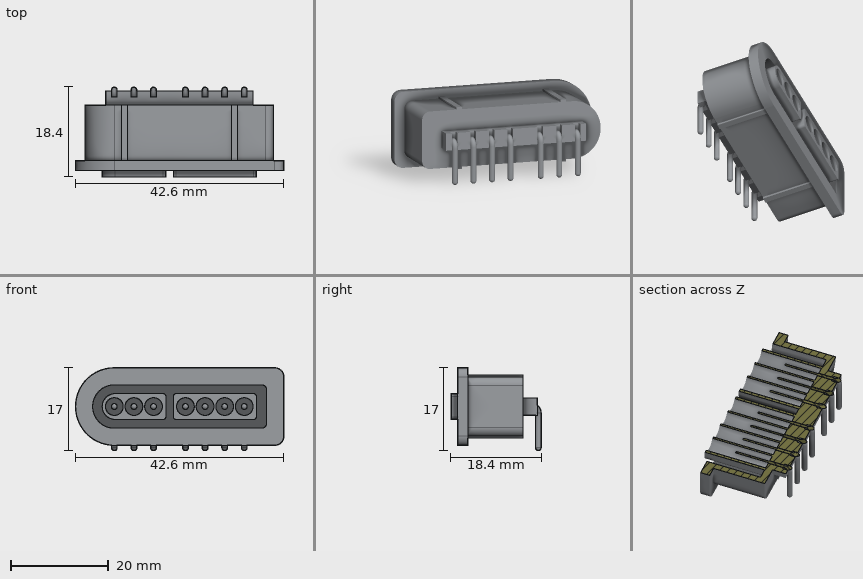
import cadquery as cq


overall_height = 16.95
flange_length = 42.6
flange_height = 15.9
flange_radius = flange_height / 2

pin_diameter = 1.2
pin_radius = pin_diameter / 2
pin_pitch = 4.0
group_gap = 6.5
first_group = [i * pin_pitch for i in range(3)]
second_group = [first_group[-1] + group_gap + i * pin_pitch for i in range(4)]
pin_places = first_group + second_group
bend_radius = 1.28
quarter_turn = 90
pin_bottom = flange_radius - overall_height
contact_length = 7.65

flange_thickness = 2.1
shell_depth = 11.3
block_depth = 2.95
tower_reach = 1.3
tail_overhang = 0.75
shell_back = flange_thickness + shell_depth
block_back = shell_back + block_depth
tail_y = block_back + tail_overhang - pin_radius

flange_right = flange_length - flange_radius
flange_corner = 1.9
shell_radius = 6.0
shell_right = 32.55
shell_corner = 1.7
cavity_radius = 4.45
cavity_right = 31.1
cavity_corner = 1.0

rear_wall = shell_radius - cavity_radius
cavity_depth = shell_back - rear_wall
tower_radius = 2.65
tower_corner = 0.55
tower_arc_x = 0.15
first_tower_right = 10.52
second_tower_left = 12.05
second_tower_right = 29.0
socket_diameter = 3.6

rib_height = 0.45
rib_width = 1.25
rib_lefts = [1.45, 23.95]
block_left = -1.8
block_right = 28.37
block_height = 3.58
slot_depth = 1.25


def front_plane(y):
    """Sketch plane facing the plug: extruding by a negative length goes towards +Y."""
    return cq.Workplane("XZ", origin=(0, y, 0))


def rounded_end_prism(arc_x, right, radius, corner, y_start, y_end):
    """Prism with a half-round left end and two filleted corners at the right."""
    return (
        front_plane(y_start)
        .moveTo(arc_x, radius)
        .lineTo(right, radius)
        .lineTo(right, -radius)
        .lineTo(arc_x, -radius)
        .threePointArc((arc_x - radius, 0), (arc_x, radius))
        .close()
        .extrude(y_start - y_end)
        .edges("|Y and >X")
        .fillet(corner)
    )


def box(x_range, y_range, z_range):
    """Box between the given limits."""
    sizes = [high - low for low, high in (x_range, y_range, z_range)]
    corner = (x_range[0], y_range[0], z_range[0])
    return cq.Workplane("XY", origin=corner).box(*sizes, centered=False)


def make_pin(x):
    """Round pin: a domed contact, a quarter bend and a domed solder tail pointing down."""
    contact_tip = cavity_depth - contact_length
    contact_start = contact_tip + pin_radius
    tail_end = pin_bottom + pin_radius
    bend_start = tail_y - bend_radius
    contact = (
        front_plane(contact_start)
        .center(x, 0)
        .circle(pin_radius)
        .extrude(contact_start - bend_start)
    )
    bend = (
        front_plane(bend_start)
        .center(x, 0)
        .circle(pin_radius)
        .revolve(quarter_turn, (0.43, -bend_radius), (-0.43, -bend_radius))
    )
    tail = (
        cq.Workplane("XY", origin=(x, tail_y, -bend_radius))
        .circle(pin_radius)
        .extrude(tail_end + bend_radius)
    )
    contact_dome = front_plane(contact_start).center(x, 0).sphere(pin_radius)
    tail_dome = cq.Workplane("XY", origin=(x, tail_y, tail_end)).sphere(pin_radius)
    return contact.union(bend).union(tail).union(contact_dome).union(tail_dome)


def make_shell():
    """Flange and shell, hollowed from the front."""
    flange = rounded_end_prism(0, flange_right, flange_radius, flange_corner, 0, flange_thickness)
    shell = rounded_end_prism(0, shell_right, shell_radius, shell_corner, flange_thickness, shell_back)
    cavity = rounded_end_prism(0, cavity_right, cavity_radius, cavity_corner, 0, cavity_depth)
    return flange.union(shell).cut(cavity)


def make_ribs():
    """Low ribs along the top and bottom of the shell; they pass through its solid wall."""
    ribs = cq.Workplane("XY")
    for left in rib_lefts:
        for side in (1, -1):
            z_range = sorted((side * cavity_radius, side * (shell_radius + rib_height)))
            ribs = ribs.union(box((left, left + rib_width), (flange_thickness, shell_back), z_range))
    return ribs


def make_towers():
    """Two socket towers standing on the cavity floor."""
    first = rounded_end_prism(
        tower_arc_x, first_tower_right, tower_radius, tower_corner, -tower_reach, cavity_depth
    )
    second = box(
        (second_tower_left, second_tower_right), (-tower_reach, cavity_depth), (-tower_radius, tower_radius)
    ).edges("|Y").fillet(tower_corner)
    return first.union(second)


def make_sockets():
    """Round sockets in the towers, as deep as the cavity."""
    return (
        front_plane(-tower_reach)
        .pushPoints([(x, 0) for x in pin_places])
        .circle(socket_diameter / 2)
        .extrude(-tower_reach - cavity_depth)
    )


def make_block():
    """Terminal block on the back of the shell, with one open slot for each pin's bend."""
    half_height = block_height / 2
    block = box((block_left, block_right), (shell_back, block_back), (-half_height, half_height))
    slot_front = block_back - slot_depth
    for x in pin_places:
        slot = box((x - pin_radius, x + pin_radius), (slot_front, block_back), (-half_height, half_height))
        block = block.cut(slot)
    return block


def make_housing(pins):
    """One-piece housing with a matching hole for every pin."""
    housing = make_shell().union(make_ribs()).union(make_towers()).union(make_block()).cut(make_sockets())
    for pin in pins:
        housing = housing.cut(pin)
    return housing


pins = [make_pin(x) for x in pin_places]
housing = make_housing(pins)

result = cq.Compound.makeCompound([housing.val(), *[pin.val() for pin in pins]])